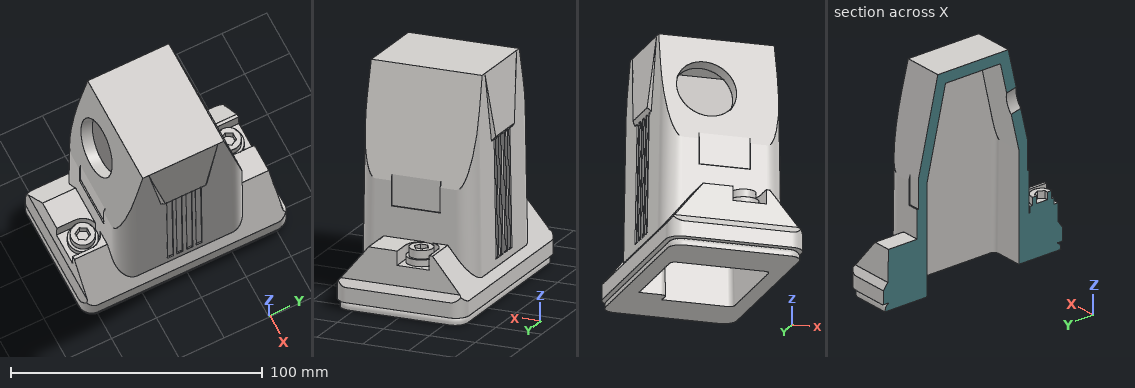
import cadquery as cq
import math

base_length_x = 57.0
base_length_y = 92.0
base_corner_radius = 5.9
base_bottom_z = 3.4
base_edge_z = 9.8
base_ridge_z = 27.3
ridge_half_width = 13.9
end_chamfer_top_z = 12.8
end_chamfer_half_y = 43.7
ridge_half_y = 43.4

gasket_inset = 1.0
gasket_straight_height = 1.1
gasket_corner_radius = 5.5

total_height = 96.8
hood_top_half_x = 24.2
hood_draft_degrees = 1.0
hood_half_y = 28.7
hood_top_half_y = 18.1
hood_slope_start_z = 50.9
hood_corner_radius = 7.5
wall = 5.2

entry_diameter = 25.1
entry_x = -5.9
entry_z = 73.9

post_edge_x = -9.1
post_top_z = 76.3
post_radius = 2.2

label_width = 21.3
label_bottom_z = 40.4
label_top_z = 53.4

pad_top_z = 96.1
pad_face_bottom_z = 68.4
pad_top_half_y = 15.3
pad_face_bottom_half_y = 9.0
pad_face_bottom_x = 26.0
pad_bevel_degrees = 48.0
pad_embed = 0.3
groove_offsets = (2.2, 6.4)
groove_width = 2.6
groove_depth = 0.6
groove_bottom_z = 16.6

screw_x = 5.5
screw_y = 35.3
pocket_radius = 7.0
pocket_floor_z = 21.3
washer_radius = 6.2
washer_top_z = 24.1
head_radius = 5.0
head_top_z = 27.7
hex_corner_diameter = 6.0
hex_depth = 3.4

draft_ratio = math.tan(math.radians(hood_draft_degrees))
slope_ratio = (hood_half_y - hood_top_half_y) / (total_height - hood_slope_start_z)
slope_angle = math.atan(slope_ratio)


def hood_half_x(z):
    """Half width of the drafted hood sides at height z."""
    return hood_top_half_x + draft_ratio * (total_height - z)


def hood_slope_y(z):
    """Distance of the sloped hood faces from the middle plane at height z."""
    return hood_top_half_y + slope_ratio * (total_height - z)


def half_turn(shape):
    """Copy on the opposite side of the vertical axis."""
    return shape.rotate((0, 0, 0), (0, 0, 1), 180)


def rounded_block(size_x, size_y, radius, bottom_z, top_z):
    block = cq.Workplane("XY", origin=(0, 0, bottom_z)).rect(size_x, size_y).extrude(top_z - bottom_z)
    return block.edges("|Z").fillet(radius)


def extrude_along_y(points, half_y):
    return cq.Workplane("XZ").polyline(points).close().extrude(half_y, both=True)


def extrude_along_x(points, half_x):
    return cq.Workplane("YZ").polyline(points).close().extrude(half_x, both=True)


def mirrored_outline(right_points):
    """Closed outline from its right half, listed bottom to top."""
    return right_points + [(-across, z) for across, z in reversed(right_points)]


def make_base():
    base = rounded_block(base_length_x, base_length_y, base_corner_radius, base_bottom_z, base_ridge_z)
    side_slopes = mirrored_outline([
        (base_length_x / 2, base_bottom_z),
        (base_length_x / 2, base_edge_z),
        (ridge_half_width, base_ridge_z),
    ])
    end_slopes = mirrored_outline([
        (base_length_y / 2, base_bottom_z),
        (base_length_y / 2, base_edge_z),
        (end_chamfer_half_y, end_chamfer_top_z),
        (ridge_half_y, base_ridge_z),
    ])
    base = base.intersect(extrude_along_y(side_slopes, base_length_y / 2))
    return base.intersect(extrude_along_x(end_slopes, base_length_x / 2))


def make_gasket():
    gasket = rounded_block(
        base_length_x - 2 * gasket_inset,
        base_length_y - 2 * gasket_inset,
        gasket_corner_radius,
        0,
        base_bottom_z,
    )
    return gasket.faces(">Z").edges().fillet(base_bottom_z - gasket_straight_height)


def make_hood_shape(inset, bottom_z, corner_radius):
    """Drafted, rounded hood with sloped front and rear, moved inward by inset on all outer faces."""
    top_z = total_height - inset
    side_inset = inset / math.cos(math.radians(hood_draft_degrees))
    slope_inset = inset / math.cos(slope_angle)
    half_y = hood_half_y - inset
    top_half_y = hood_slope_y(top_z) - slope_inset
    slope_start_z = top_z - (half_y - top_half_y) / slope_ratio
    sides = mirrored_outline([
        (hood_half_x(bottom_z) - side_inset, bottom_z),
        (hood_half_x(top_z) - side_inset, top_z),
    ])
    ends = mirrored_outline([
        (half_y, bottom_z),
        (half_y, slope_start_z),
        (top_half_y, top_z),
    ])
    shape = extrude_along_y(sides, half_y)
    shape = shape.edges("not #Z").fillet(corner_radius)
    return shape.intersect(extrude_along_x(ends, hood_half_x(bottom_z)))


def make_cavity():
    """Hollow inside, open at the bottom, less the post on its rear wall."""
    cavity = make_hood_shape(wall, 0, hood_corner_radius - wall)
    post_face_y = hood_slope_y(post_top_z) - wall / math.cos(slope_angle)
    post = cq.Workplane("XY").box(
        base_length_x / 2, hood_half_y, total_height, centered=False
    ).translate((post_edge_x - base_length_x / 2, post_face_y, 0))
    return cavity.cut(post.edges("|Z and >X and <Y").fillet(post_radius))


def make_cable_entry():
    """Cutter square to the front slope, long enough to pass through the wall."""
    inward = (0, math.cos(slope_angle), -math.sin(slope_angle))
    entry_plane = cq.Plane(origin=(entry_x, -hood_slope_y(entry_z), entry_z), xDir=(1, 0, 0), normal=inward)
    return cq.Workplane(entry_plane).circle(entry_diameter / 2).extrude(2 * wall, both=True)


def make_label_recess():
    """Cutter for the front wall whose floor runs out on the slope at the label's top edge."""
    floor_y = hood_slope_y(label_top_z)
    label_height = label_top_z - label_bottom_z
    return cq.Workplane("XY").box(
        label_width, hood_half_y, label_height, centered=(True, False, False)
    ).translate((0, -floor_y - hood_half_y, label_bottom_z))


def make_grip_grooves():
    """Vertical grooves in the +X side, following its draft up to the grip pad."""
    bottom_x = hood_half_x(groove_bottom_z) - groove_depth
    top_x = hood_half_x(pad_face_bottom_z) - groove_depth
    outline = [
        (bottom_x, groove_bottom_z),
        (top_x, pad_face_bottom_z),
        (base_length_x / 2, pad_face_bottom_z),
        (base_length_x / 2, groove_bottom_z),
    ]
    groove = extrude_along_y(outline, groove_width / 2)
    return [groove.translate((0, side * offset, 0)) for offset in groove_offsets for side in (-1, 1)]


def make_grip_pad():
    """Wedge on the +X side: flush with the hood at its top, proud and bevelled at its bottom."""
    top_x = hood_half_x(pad_top_z)
    lean = pad_face_bottom_x - top_x
    drop = pad_top_z - pad_face_bottom_z
    face_length = math.hypot(lean, drop)
    root_depth = pad_face_bottom_x - hood_half_x(pad_face_bottom_z) + groove_depth + pad_embed
    face_plane = cq.Plane(origin=(top_x, 0, pad_top_z), xDir=(0, 1, 0), normal=(-drop, 0, -lean))
    outline = [
        (-pad_top_half_y, 0),
        (pad_top_half_y, 0),
        (pad_face_bottom_half_y, face_length),
        (-pad_face_bottom_half_y, face_length),
    ]
    face = cq.Workplane(face_plane).polyline(outline).close()
    root_spread = root_depth * math.tan(math.radians(pad_bevel_degrees))
    root = cq.Workplane(face_plane).workplane(offset=root_depth).polyline(outline).close()
    root = root.offset2D(root_spread, "intersection")
    pad = cq.Workplane(cq.Solid.makeLoft([face.val(), root.val()], True))
    below_top = cq.Workplane("XY").box(
        base_length_x, base_length_y, pad_top_z, centered=(True, True, False)
    )
    return pad.intersect(below_top)


def make_screw_pocket():
    """Round-ended pocket in the front end block, open toward the front."""
    floor = cq.Workplane("XY", origin=(screw_x, -screw_y, pocket_floor_z))
    round_end = floor.circle(pocket_radius).extrude(total_height)
    run_out = floor.center(0, -pocket_radius).rect(2 * pocket_radius, 2 * pocket_radius).extrude(total_height)
    return round_end.union(run_out)


def make_screw():
    """Front screw: washer on the pocket floor and a socket head above it."""
    floor = cq.Workplane("XY", origin=(screw_x, -screw_y, pocket_floor_z))
    washer = floor.circle(washer_radius).extrude(washer_top_z - pocket_floor_z)
    head = floor.circle(head_radius).extrude(head_top_z - pocket_floor_z)
    screw = washer.union(head)
    return screw.faces(">Z").workplane(origin=(screw_x, -screw_y, head_top_z)).polygon(
        6, hex_corner_diameter).cutBlind(-hex_depth)


screw_pocket = make_screw_pocket()
base = make_base().union(make_gasket())
base = base.cut(screw_pocket).cut(half_turn(screw_pocket))

hood = make_hood_shape(0, base_bottom_z, hood_corner_radius)
for groove in make_grip_grooves():
    hood = hood.cut(groove).cut(half_turn(groove))
grip_pad = make_grip_pad()
hood = hood.union(grip_pad).union(half_turn(grip_pad))
label_recess = make_label_recess()
hood = hood.cut(label_recess).cut(half_turn(label_recess))

screw = make_screw()
result = base.union(hood).cut(make_cavity()).cut(make_cable_entry())
result = result.union(screw).union(half_turn(screw))